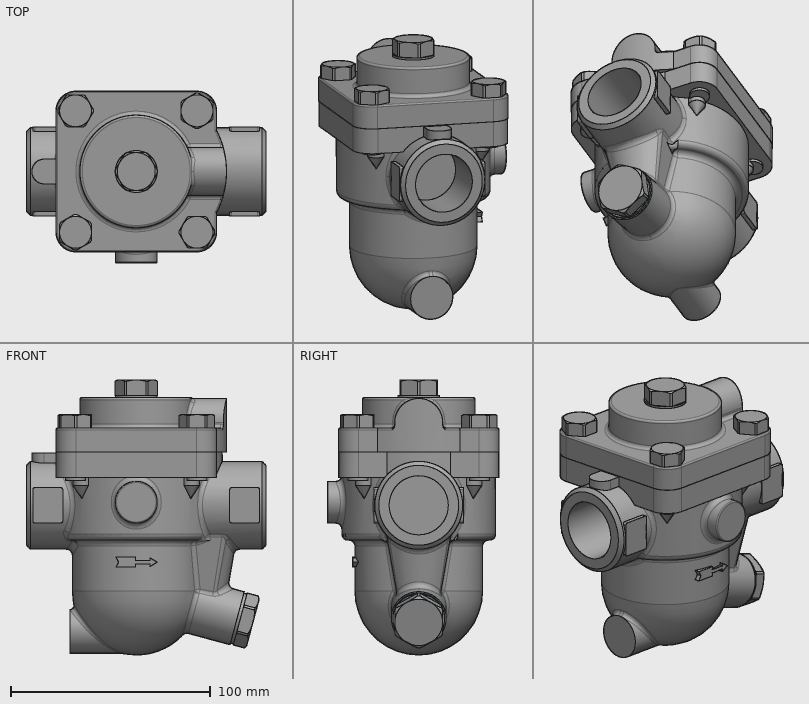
import cadquery as cq
import math


inlet_end = -55.0
outlet_end = 65.0
port_radius = 22.0
port_chamfer = 2.0
port_bore_diameter = 29.6
port_bore_depth = 30.0
wrench_pad_length = 15.0
wrench_pad_height = 17.7
wrench_pad_face = 22.3
wrench_pad_setback = 3.2
wrench_pad_corner = 1.0

chamber_radius = 38.5
bowl_radius = 32.0
bowl_center_z = -43.0
step_z = -17.5
body_blend = 3.0
drain_blend = 2.0

flange_side = 80.5
flange_corner = 10.0
flange_bottom_z = 13.9
joint_z = 26.6
cover_top_z = 38.6
joint_relief = 0.3
body_lobe_radius = 43.1
cover_lobe_radius = 45.2
cover_edge_round = 0.8

dome_radius = 56.5 / 2
dome_top_z = 54.0
dome_top_round = 1.2
passage_radius = 12.0
passage_top_z = 53.5
cover_blend = 2.0

plug_across_flats = 19.0
plug_round_diameter = 21.3
plug_collar_diameter = 21.0
plug_collar_top_z = 55.0
plug_top_z = 62.75

bolt_offset = 30.4
bolt_across_flats = 16.0
bolt_round_diameter = 17.8
bolt_head_top_z = 45.4
bolt_diameter = 10.0
bolt_tip_z = 12.3

bolt_boss_offset = 27.3
bolt_boss_radius = 4.3
bolt_boss_cone_top_z = 9.8
bolt_boss_tip_z = 3.3

front_boss_diameter = 21.0
front_boss_z = 1.5
front_boss_end_y = -45.75
front_boss_round = 0.6
drain_boss_radius = 11.0
drain_boss_z = -63.2
drain_boss_end_x = -33.2

neck_tilt = 15.0
neck_diameter = 27.5
neck_end = 52.3
seat_plug_collar_diameter = 26.0
seat_plug_collar_length = 1.6
seat_plug_across_flats = 24.0
seat_plug_round_diameter = 27.0
seat_plug_hex_length = 6.6

riser_top_z = -3.0
riser_top_half_width = 18.2
riser_top_flat_x = 46.5
riser_bottom_z = -54.0
riser_bottom_half_width = 9.2
riser_bottom_flat_x = 37.6
riser_nose = 6.1

lug_end_x = -52.3
lug_width = 12.4
lug_top_z = 26.2

arrow_face_y = -33.1
arrow_center_z = -28.5
arrow_tail_x = -10.2
arrow_notch_x = -8.8
arrow_shaft_x = -0.3
arrow_head_x = 6.8
arrow_tip_x = 10.5
arrow_tail_half = 2.5
arrow_shaft_half = 0.9
arrow_head_half = 2.2

overlap = 10.0
small_overlap = 1.0
pick_slack = 0.01


def cylinder_z(radius, bottom, top, x=0.0, y=0.0):
    return cq.Workplane("XY", origin=(x, y, bottom)).circle(radius).extrude(top - bottom)


def cylinder_x(radius, start, end, z=0.0):
    return cq.Workplane("YZ", origin=(start, 0, z)).circle(radius).extrude(end - start)


def edges_within(low, high):
    return cq.selectors.BoxSelector(low, high, boundingbox=True)


def unite(base, *choices):
    """Joins the first choice that leaves one sound, larger solid."""
    base_volume = base.val().Volume()
    for choice in choices:
        united = base.union(choice)
        sound = united.solids().size() == 1 and united.val().isValid()
        if sound and united.val().Volume() > base_volume:
            return united
    return base


def hex_head(across_flats, round_diameter, height, corner_angle=0.0):
    """Hexagon standing on z = 0 with rounded-off corners and a 30 degree crown."""
    corner_diameter = across_flats / math.cos(math.pi / 6)
    crown_drop = (round_diameter - across_flats) / 2 * math.tan(math.pi / 6)
    head = cq.Workplane("XY").polygon(6, corner_diameter).extrude(height)
    head = head.rotate((0, 0, 0), (0, 0, 1), corner_angle)
    turned = (
        cq.Workplane("XZ")
        .moveTo(0, 0)
        .lineTo(round_diameter / 2, 0)
        .lineTo(round_diameter / 2, height - crown_drop)
        .lineTo(across_flats / 2, height)
        .lineTo(0, height)
        .close()
        .revolve(360, (0, 0, 0), (0, 1, 0))
    )
    return head.intersect(turned)


def make_vessel():
    """Wide chamber stepping down to the bowl, closed by a half sphere."""
    chamber = cylinder_z(chamber_radius, step_z, joint_z - small_overlap)
    bowl = cylinder_z(bowl_radius, bowl_center_z, step_z)
    bottom = cq.Workplane("XY").sphere(bowl_radius).translate((0, 0, bowl_center_z))
    return chamber.union(bowl).union(bottom)


def make_ports():
    return cylinder_x(port_radius, inlet_end, outlet_end).faces("<X or >X").chamfer(port_chamfer)


def make_riser():
    """Tapered passage with a rounded nose, wider towards the outlet port."""

    def section(z, half_width, flat_x):
        return (
            cq.Workplane("XY", origin=(0, 0, z))
            .moveTo(overlap, -half_width)
            .lineTo(flat_x, -half_width)
            .threePointArc((flat_x + riser_nose, 0), (flat_x, half_width))
            .lineTo(overlap, half_width)
            .close()
            .val()
        )

    bottom = section(riser_bottom_z, riser_bottom_half_width, riser_bottom_flat_x)
    top = section(riser_top_z, riser_top_half_width, riser_top_flat_x)
    return cq.Workplane(cq.Solid.makeLoft([bottom, top], True))


def along_neck(shape):
    """Turns a shape built along +Z from the origin onto the inclined neck axis."""
    return shape.rotate((0, 0, 0), (0, 1, 0), 90 + neck_tilt).translate((0, 0, bowl_center_z))


def make_neck():
    return along_neck(cylinder_z(neck_diameter / 2, 0, neck_end))


def make_front_boss():
    boss = cq.Workplane("XZ", origin=(0, 0, front_boss_z)).circle(front_boss_diameter / 2)
    boss = boss.extrude(-front_boss_end_y)
    return boss.faces("<Y").edges().fillet(front_boss_round)


def make_casting():
    """Vessel, ports, riser, neck and bosses with their junctions rounded."""
    casting = make_vessel().union(make_ports()).union(make_riser())
    casting = casting.union(make_neck()).union(make_front_boss())
    reach = chamber_radius + overlap / 2
    port_reach = port_radius + 1
    below_bowl = bowl_center_z - bowl_radius - overlap / 2
    chamber_junctions = edges_within(
        (-reach, -chamber_radius - 1, -port_reach),
        (reach, reach, port_reach),
    )
    neck_junctions = edges_within(
        (overlap / 2, -reach, below_bowl),
        (reach + overlap, reach, port_reach),
    )
    casting = casting.edges(chamber_junctions + neck_junctions).fillet(body_blend)

    casting = casting.union(cylinder_x(drain_boss_radius, drain_boss_end_x, 0, drain_boss_z))
    drain_junction = edges_within(
        (drain_boss_end_x + 1, -2 * drain_boss_radius, below_bowl),
        (overlap, 2 * drain_boss_radius, bowl_center_z - 1),
    )
    return casting.edges(drain_junction).fillet(drain_blend)


def flange_plate(side, bottom, top, lobe_radius):
    """Square plate with a round lobe towards the outlet."""
    plate = cq.Workplane("XY", origin=(0, 0, bottom)).rect(side, side).extrude(top - bottom)
    plate = plate.edges("|Z").fillet(flange_corner)
    lobe_window = cq.Workplane("XY", origin=(side / 2, 0, bottom)).rect(side, side)
    lobe_window = lobe_window.extrude(top - bottom)
    return plate.union(cylinder_z(lobe_radius, bottom, top).intersect(lobe_window))


def make_passage():
    """Arched passage on the cover, running from the dome to the rim of the lobe."""
    axis_z = passage_top_z - passage_radius
    length = cover_lobe_radius + overlap
    arch = cylinder_x(passage_radius, 0, length, axis_z)
    foot = (
        cq.Workplane("XY", origin=(0, -passage_radius, joint_z))
        .rect(length, 2 * passage_radius, centered=False)
        .extrude(axis_z - joint_z)
    )
    return arch.union(foot).intersect(cylinder_z(cover_lobe_radius, joint_z, dome_top_z))


def make_cover():
    """Flange plate of the cover with its dome and passage, junctions left sharp."""
    plate = flange_plate(flange_side, joint_z, cover_top_z, cover_lobe_radius)
    plate = plate.faces(">Z").edges().fillet(cover_edge_round)
    dome = cylinder_z(dome_radius, joint_z, dome_top_z).faces(">Z").edges().fillet(dome_top_round)
    return plate.union(dome).union(make_passage())


def blend_cover(cover):
    """Rounds the junctions between plate, dome and passage."""
    side_reach = dome_radius + 2 * cover_blend
    junctions = edges_within(
        (-cover_lobe_radius, -side_reach, cover_top_z - pick_slack),
        (cover_lobe_radius, side_reach, dome_top_z - 10 * pick_slack),
    )
    return cover.edges(junctions).fillet(cover_blend)


def make_lug():
    half_width = lug_width / 2
    lug = (
        cq.Workplane("XY")
        .moveTo(-chamber_radius, -half_width)
        .lineTo(lug_end_x + half_width, -half_width)
        .threePointArc((lug_end_x, 0), (lug_end_x + half_width, half_width))
        .lineTo(-chamber_radius, half_width)
        .close()
        .extrude(lug_top_z)
    )
    return lug.cut(cylinder_x(port_radius - small_overlap, inlet_end, 0))


def make_wrench_pads(center_x):
    """Block across a port that stands out as a flat pad on both sides."""
    return (
        cq.Workplane("XZ", origin=(center_x, wrench_pad_face, 0))
        .rect(wrench_pad_length, wrench_pad_height)
        .extrude(2 * wrench_pad_face)
        .edges("|Y")
        .fillet(wrench_pad_corner)
    )


def make_bolt(sign_x, sign_y):
    x = sign_x * bolt_offset
    y = sign_y * bolt_offset
    corner_angle = 30.0 if sign_x == sign_y else 0.0
    head_height = bolt_head_top_z - cover_top_z
    head = hex_head(bolt_across_flats, bolt_round_diameter, head_height, corner_angle)
    head = head.translate((x, y, cover_top_z))
    return head.union(cylinder_z(bolt_diameter / 2, bolt_tip_z, cover_top_z, x, y))


def make_bolt_boss(sign_x, sign_y):
    boss_top_z = flange_bottom_z + small_overlap
    boss = (
        cq.Workplane("XZ")
        .moveTo(0, bolt_boss_tip_z)
        .lineTo(bolt_boss_radius, bolt_boss_cone_top_z)
        .lineTo(bolt_boss_radius, boss_top_z)
        .lineTo(0, boss_top_z)
        .close()
        .revolve(360, (0, 0, 0), (0, 1, 0))
    )
    return boss.translate((sign_x * bolt_boss_offset, sign_y * bolt_boss_offset, 0))


def make_plug_collar():
    return cylinder_z(plug_collar_diameter / 2, dome_top_z - small_overlap, plug_collar_top_z)


def make_plug_head():
    head = hex_head(plug_across_flats, plug_round_diameter, plug_top_z - plug_collar_top_z)
    return head.translate((0, 0, plug_collar_top_z))


def make_seat_plug():
    collar_end = neck_end + seat_plug_collar_length
    collar = cylinder_z(seat_plug_collar_diameter / 2, neck_end - small_overlap, collar_end)
    head = hex_head(seat_plug_across_flats, seat_plug_round_diameter, seat_plug_hex_length)
    return along_neck(collar.union(head.translate((0, 0, collar_end))))


def make_arrow():
    upper_half = [
        (arrow_tail_x, arrow_tail_half),
        (arrow_shaft_x, arrow_tail_half),
        (arrow_shaft_x, arrow_shaft_half),
        (arrow_head_x, arrow_shaft_half),
        (arrow_head_x, arrow_head_half),
    ]
    lower_half = [(x, -z) for x, z in reversed(upper_half)]
    outline = [(arrow_notch_x, 0)] + upper_half + [(arrow_tip_x, 0)] + lower_half
    arrow = cq.Workplane("XZ", origin=(0, arrow_face_y, arrow_center_z)).polyline(outline).close()
    return arrow.extrude(-overlap)


def make_port_bore(end_x, depth):
    return cylinder_x(port_bore_diameter / 2, end_x, end_x + depth)


body_flange = flange_plate(flange_side - joint_relief, flange_bottom_z, joint_z, body_lobe_radius)
sharp_cover = make_cover()
pad_inset = wrench_pad_setback + wrench_pad_length / 2

part = make_casting().union(body_flange)
part = unite(part, blend_cover(sharp_cover), sharp_cover)
part = unite(part, make_lug())
part = unite(part, make_wrench_pads(inlet_end + pad_inset))
part = unite(part, make_wrench_pads(outlet_end - pad_inset))
for sign_x in (-1, 1):
    for sign_y in (-1, 1):
        part = unite(part, make_bolt_boss(sign_x, sign_y))
        part = unite(part, make_bolt(sign_x, sign_y))
part = unite(part, make_plug_collar())
part = unite(part, make_plug_head())
part = unite(part, make_seat_plug())
part = unite(part, make_arrow())
part = part.cut(make_port_bore(inlet_end, port_bore_depth))
result = part.cut(make_port_bore(outlet_end, -port_bore_depth))